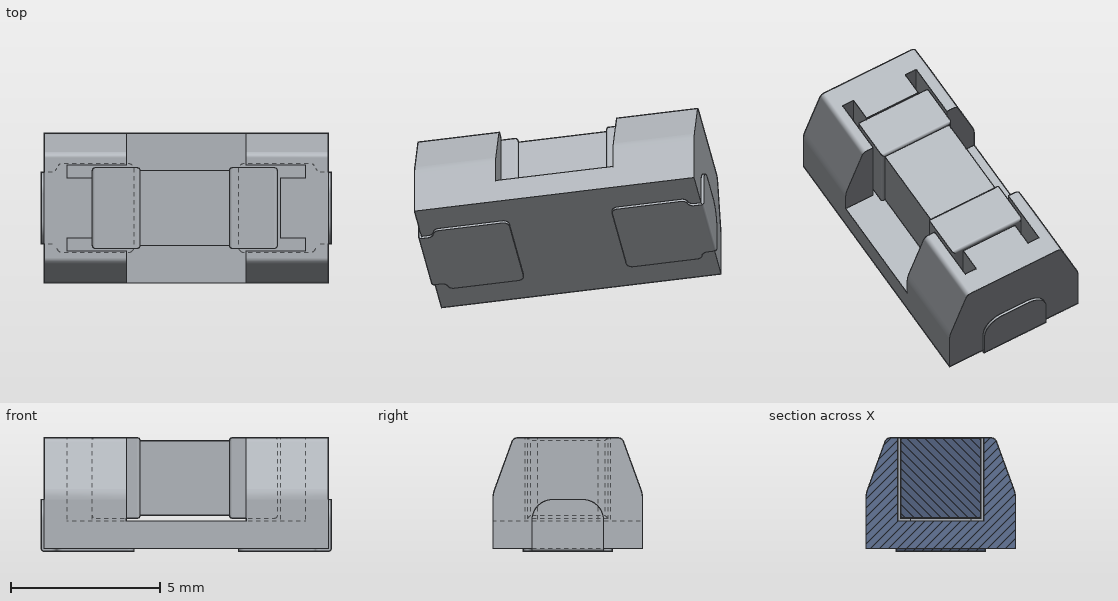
import cadquery as cq
import math

total_length = 9.73
total_height = 3.81
sheet = 0.1

housing_length = total_length - 2 * sheet
housing_width = 5.03
housing_height = total_height - sheet
flank_start_z = 1.92
flank_angle = 20.0
shoulder_radius = 1.0
crown_radius = 0.2

floor_z = 1.02
window_length = 4.01
cavity_length = 6.305
cavity_width = 2.88
slot_span = 8.0
tongue_width = 2.02

clearance = 0.1
fuse_length = cavity_length - clearance
cap_size = 2.705
cap_length = 1.61
cap_rounding = 0.1
core_size = cap_size - 2 * cap_rounding
fuse_x = -cavity_length / 2
fuse_z = total_height - cap_size / 2

tab_width = 2.4
tab_height = 1.74
tab_radius = 0.7
pad_length = 3.11
pad_width = 3.0
pad_radius = 0.2
widening_start = 0.33
bend_radius = sheet


def make_housing():
    lean = (total_height - flank_start_z) * math.tan(math.radians(flank_angle))
    foot_y = housing_width / 2
    crown_y = foot_y - lean
    profile = [
        (-foot_y, sheet), (foot_y, sheet), (foot_y, flank_start_z),
        (crown_y, total_height), (-crown_y, total_height), (-foot_y, flank_start_z),
    ]
    block = cq.Workplane("YZ").polyline(profile).close().extrude(housing_length / 2, both=True)
    block = block.edges("|X").edges(">Z").fillet(crown_radius)
    mid_edges = cq.selectors.BoxSelector(
        (-housing_length, -housing_width, flank_start_z - sheet),
        (housing_length, housing_width, flank_start_z + sheet),
    )
    block = block.edges("|X").edges(mid_edges).fillet(shoulder_radius)

    opening = cq.Workplane("XY").workplane(offset=floor_z)
    window = opening.rect(window_length, housing_width).extrude(housing_height)
    cavity = opening.rect(cavity_length, cavity_width).extrude(housing_height)
    slot_width = (cavity_width - tongue_width) / 2
    slot_y = (cavity_width - slot_width) / 2
    slot_centres = [(0, -slot_y), (0, slot_y)]
    slots = opening.pushPoints(slot_centres).rect(slot_span, slot_width).extrude(housing_height)
    return block.cut(window).cut(cavity).cut(slots)


def make_cap(start_x):
    cap = cq.Workplane("YZ", origin=(start_x, 0, fuse_z)).rect(cap_size, cap_size).extrude(cap_length)
    return cap.faces("<X or >X").edges().fillet(cap_rounding)


def make_fuse():
    core_length = fuse_length - 2 * cap_length
    core_plane = cq.Workplane("YZ", origin=(fuse_x + cap_length, 0, fuse_z))
    fuse = core_plane.rect(core_size, core_size).extrude(core_length)
    for start_x in (fuse_x, fuse_x + fuse_length - cap_length):
        fuse = fuse.union(make_cap(start_x))
    return fuse


def make_pad():
    step = (pad_width - tab_width) / 2
    sweep = math.acos(1 - step / (2 * pad_radius))
    rise = pad_radius * (1 - math.cos(sweep / 2))
    run = pad_radius * math.sin(sweep / 2)
    outer_x = -total_length / 2
    start_x = outer_x + widening_start
    middle_x = start_x + pad_radius * math.sin(sweep)
    end_x = middle_x + pad_radius * math.sin(sweep)
    narrow_y = tab_width / 2
    wide_y = pad_width / 2
    middle_y = (narrow_y + wide_y) / 2
    inner_x = outer_x + pad_length
    pad = (
        cq.Workplane("XY")
        .moveTo(outer_x, -narrow_y)
        .lineTo(start_x, -narrow_y)
        .threePointArc((start_x + run, -narrow_y - rise), (middle_x, -middle_y))
        .threePointArc((end_x - run, -wide_y + rise), (end_x, -wide_y))
        .lineTo(inner_x, -wide_y)
        .lineTo(inner_x, wide_y)
        .lineTo(end_x, wide_y)
        .threePointArc((end_x - run, wide_y - rise), (middle_x, middle_y))
        .threePointArc((start_x + run, narrow_y + rise), (start_x, narrow_y))
        .lineTo(outer_x, narrow_y)
        .close()
        .extrude(sheet)
    )
    return pad.edges("|Z and >X").fillet(pad_radius)


def make_terminal():
    tab_plane = cq.Workplane("YZ", origin=(-total_length / 2, 0, tab_height / 2))
    tab = tab_plane.rect(tab_width, tab_height).extrude(sheet)
    tab = tab.edges("|X and >Z").fillet(tab_radius)
    terminal = tab.union(make_pad())
    return terminal.faces("<X").edges("<Z").fillet(bend_radius)


housing = make_housing()
fuse = make_fuse()
terminals = []
for turn in (0, 180):
    terminals.append(make_terminal().rotate((0, 0, 0), (0, 0, 1), turn).val())

result = cq.Compound.makeCompound([housing.val(), fuse.val(), *terminals])